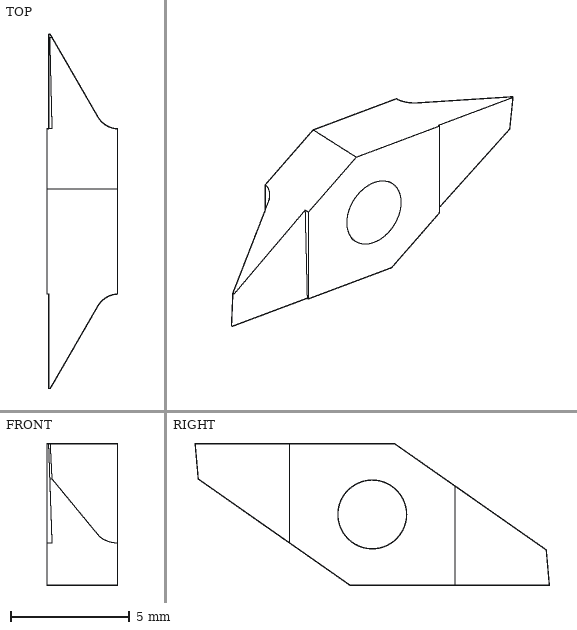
import cadquery as cq
import math

thickness = 3.0
length = 15.0
height = 6.0
hole_diameter = 2.9

tip_height = 1.5
tip_relief_angle = 5.0
back_slope_angle = 35.0

shank_half_length = 3.5
flank_recess = 0.075
tip_width = 0.07
nose_radius = 0.03
flank_relief_angle = 2.0
edge_angle = 30.0
root_radius = 1.0

half_thickness = thickness / 2
half_length = length / 2
half_height = height / 2


def tangent(degrees):
    return math.tan(math.radians(degrees))


def side_body():
    """Point-symmetric six-sided outline extruded through the thickness."""
    tip_back_y = half_length - tip_height * tangent(tip_relief_angle)
    corner_y = tip_back_y - (height - tip_height) / tangent(back_slope_angle)
    half_outline = [
        (half_length, -half_height),
        (tip_back_y, tip_height - half_height),
        (corner_y, half_height),
    ]
    opposite_half = [(-y, -z) for y, z in half_outline]
    return (
        cq.Workplane("YZ", origin=(-half_thickness, 0, 0))
        .polyline(half_outline + opposite_half)
        .close()
        .extrude(thickness)
    )


def edge_cutter():
    """Removes the +X side of the +Y tip: a slanted straight face with a concave root arc."""
    turn = math.radians(90 - edge_angle)
    tip_x = flank_recess + tip_width - half_thickness
    arc_end_y = shank_half_length + root_radius * (1 - math.cos(turn))
    arc_end_x = tip_x + (half_length - arc_end_y) * tangent(edge_angle)
    arc_center_x = arc_end_x + root_radius * math.sin(turn)
    arc_mid_x = arc_center_x - root_radius * math.sin(turn / 2)
    arc_mid_y = shank_half_length + root_radius * (1 - math.cos(turn / 2))
    far_y = length
    far_x = tip_x - (far_y - half_length) * tangent(edge_angle)
    return (
        cq.Workplane("XY", origin=(0, 0, -height))
        .moveTo(arc_center_x, shank_half_length)
        .threePointArc((arc_mid_x, arc_mid_y), (arc_end_x, arc_end_y))
        .lineTo(far_x, far_y)
        .lineTo(thickness, far_y)
        .lineTo(thickness, shank_half_length)
        .close()
        .extrude(2 * height)
    )


def flank_cutter():
    """Steps the -X side of the +Y tip in, deeper with distance above the cutting edge."""
    edge_x = flank_recess - half_thickness
    deep_x = edge_x + height * tangent(flank_relief_angle)
    return (
        cq.Workplane("XZ", origin=(0, shank_half_length, 0))
        .polyline([
            (-thickness, -half_height),
            (edge_x, -half_height),
            (deep_x, half_height),
            (-thickness, half_height),
        ])
        .close()
        .extrude(-length)
    )


def hole_cutter():
    return (
        cq.Workplane("YZ", origin=(-half_thickness, 0, 0))
        .circle(hole_diameter / 2)
        .extrude(thickness)
    )


def nose_edge_finder(end):
    """Selects the edge where the flank meets the end face of one tip (end = 1 or -1)."""
    middle_x = flank_recess - half_thickness + tip_height / 2 * tangent(flank_relief_angle)
    middle_y = end * (half_length - tip_height / 2 * tangent(tip_relief_angle))
    middle_z = end * (tip_height / 2 - half_height)
    return cq.selectors.NearestToPointSelector((middle_x, middle_y, middle_z))


result = side_body().cut(hole_cutter())
for cutter in (edge_cutter(), flank_cutter()):
    opposite_cutter = cutter.rotate((0, 0, 0), (1, 0, 0), 180)
    result = result.cut(cutter).cut(opposite_cutter)
for end in (1, -1):
    result = result.edges(nose_edge_finder(end)).fillet(nose_radius)